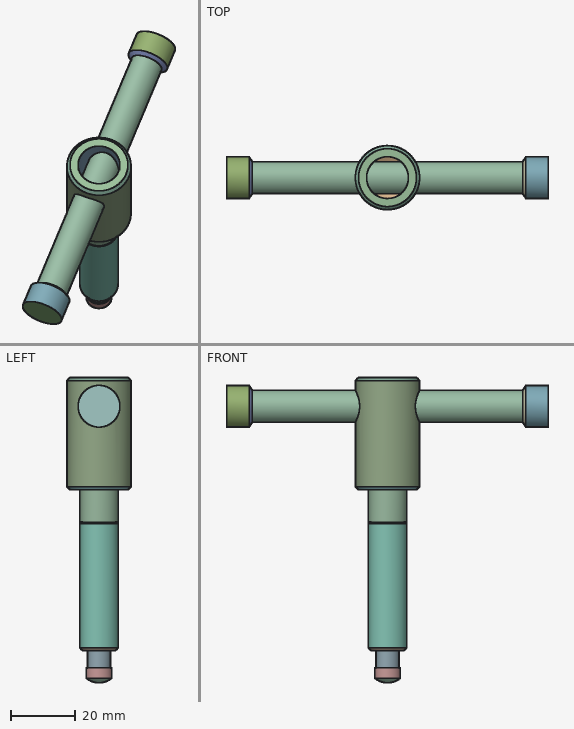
import cadquery as cq
import math

overall_height = 95.0
handle_length = 100.0

head_diameter = 20.0
head_length = 35.0
head_chamfer = 1.0
bore_diameter = 13.0
bore_radius = bore_diameter / 2
bore_depth = 18.0
bore_cone_half_angle = 60.0

shaft_diameter = 12.0
plain_shaft_length = 10.0
lower_shaft_length = 40.0
cone_end_diameter = 10.2
upper_cone_half_angle = 60.0
lower_cone_half_angle = 45.0

neck_diameter = 7.2
neck_length = 5.3
tip_diameter = 8.0
dome_radius = 6.0

rod_diameter = 10.0
rod_axis_below_top = 9.0
knob_diameter = 13.0
knob_length = 8.0
knob_chamfer_length = 1.0
knob_chamfer_height = (knob_diameter - rod_diameter) / 2

head_bottom = overall_height - head_length
lower_shaft_top = head_bottom - plain_shaft_length
shaft_bottom = lower_shaft_top - lower_shaft_length
tip_top = shaft_bottom - neck_length
rod_axis_height = overall_height - rod_axis_below_top


def cylinder_up(diameter, bottom, top):
    return cq.Workplane("XY").workplane(offset=bottom).circle(diameter / 2).extrude(top - bottom)


def cylinder_along_x(diameter, start, end):
    return (
        cq.Workplane("YZ", origin=(start, 0, rod_axis_height))
        .circle(diameter / 2)
        .extrude(end - start)
    )


def make_bore():
    """Blind bore with a conical floor."""
    cone_depth = bore_radius / math.tan(math.radians(bore_cone_half_angle))
    cone_start = overall_height - bore_depth
    return (
        cq.Workplane("XZ")
        .moveTo(0, overall_height)
        .lineTo(bore_radius, overall_height)
        .lineTo(bore_radius, cone_start)
        .lineTo(0, cone_start - cone_depth)
        .close()
        .revolve(360, (0, 0, 0), (0, 1, 0))
    )


def make_head():
    head = cylinder_up(head_diameter, head_bottom, overall_height)
    return head.faces("<Z or >Z").edges().chamfer(head_chamfer).cut(make_bore())


def make_shaft():
    """Plain length, then a lower length whose two ends are coned down to one smaller diameter."""
    plain_shaft = cylinder_up(shaft_diameter, lower_shaft_top, head_bottom)
    shaft_radius = shaft_diameter / 2
    cone_end_radius = cone_end_diameter / 2
    cone_depth = shaft_radius - cone_end_radius
    upper_cone_length = cone_depth / math.tan(math.radians(upper_cone_half_angle))
    lower_cone_length = cone_depth / math.tan(math.radians(lower_cone_half_angle))
    lower_shaft = (
        cq.Workplane("XZ")
        .moveTo(0, lower_shaft_top)
        .lineTo(cone_end_radius, lower_shaft_top)
        .lineTo(shaft_radius, lower_shaft_top - upper_cone_length)
        .lineTo(shaft_radius, shaft_bottom + lower_cone_length)
        .lineTo(cone_end_radius, shaft_bottom)
        .lineTo(0, shaft_bottom)
        .close()
        .revolve(360, (0, 0, 0), (0, 1, 0))
    )
    return plain_shaft.union(lower_shaft)


def make_tip():
    """Thrust tip: a short cylinder whose lower end is a spherical dome."""
    sphere = cq.Workplane("XY").sphere(dome_radius).translate((0, 0, dome_radius))
    return cylinder_up(tip_diameter, 0, tip_top).intersect(sphere)


def make_spindle():
    neck = cylinder_up(neck_diameter, tip_top, shaft_bottom)
    rod_hole = cylinder_along_x(rod_diameter, -head_diameter / 2, head_diameter / 2)
    return make_head().union(make_shaft()).union(neck).union(make_tip()).cut(rod_hole)


def make_handle():
    """Cross rod with a knob at each end, chamfered on the side facing the spindle."""
    half_length = handle_length / 2
    handle = cylinder_along_x(rod_diameter, -half_length, half_length)
    knob = cylinder_along_x(knob_diameter, -half_length, knob_length - half_length)
    knob = knob.faces(">X").edges().chamfer(knob_chamfer_length, knob_chamfer_height)
    return handle.union(knob).union(knob.mirror("YZ"))


spindle = make_spindle()
handle = make_handle()

result = cq.Compound.makeCompound([spindle.val(), handle.val()])